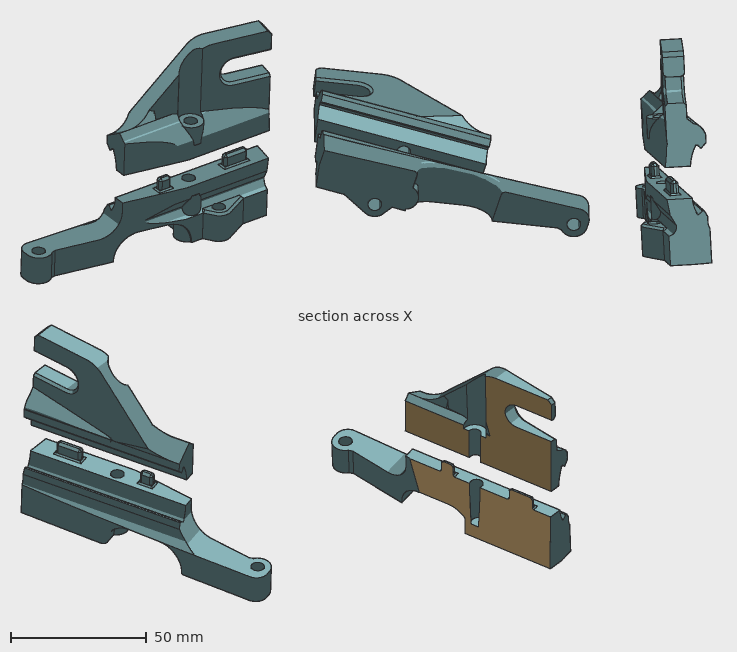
import cadquery as cq
import math

LEAN = 3.0

REAR_Y = 102.31
CLAMP_LENGTH = 65.0
FRONT_Y = REAR_Y - CLAMP_LENGTH
SIDE_X = 19.4
TAPER = 10.0
FRONT_FLANK_X = 14.8
SCREW_X = 14.1
SCREW_Y = 68.0
SCREW_DIAMETER = 5.0
SCREW_BOSS_RADIUS = 4.9
FAR = 40.0

PLATE_HEIGHT = 11.2
LUG_HEIGHT = 12.1
LOWER_TOP = 24.95
SCREW_HOLE_DEPTH = 19.0
SHOULDER_RADIUS = 9.6
LEFT_WALL_ANGLE = 2.3
ARM_HOLE_X = 6.9
ARM_HOLE_Y = 5.1
ARM_END_RADIUS = 5.1
ARM_HOLE_DIAMETER = 5.0
ARM_CORNER_RADIUS = 4.6
NECK_Y = 10.4
ARCH_FRONT_Y = 34.4
ARCH_REAR_Y = 66.4
ARCH_HEIGHT = 10.6
ARCH_RADIUS = 10.3
LEFT_RIM_REACH = 6.0
LOWER_BOSS_TOP = 20.0
ARCH_ROUND = 1.7
LUG_X = 20.1
LUG_Y = 77.9
LUG_RADIUS = 5.0
LUG_HOLE_DIAMETER = 5.0
LUG_FRONT_Y = 71.4
LUG_ROOT_X = 17.0
LUG_REAR_Y = 89.9
LUG_EDGE_ANGLE = 28.0
LUG_CHAMFER = 0.9

TAB_X = 14.8
TAB_WIDTH = 3.0
TAB_HEIGHT = 5.25
TAB_CHAMFER = 1.0
TAB_FOOT = 0.6
TABS = [(88.3, 10.4), (55.9, 5.3)]

UPPER_BOTTOM = 37.0
SHELF_X = 3.9
SHELF_Z = 48.8
RIDGE_X = 11.4
RIDGE_Z = 53.6
SEAT_Z = 49.85
HOOK_BOSS_BOTTOM = 42.0
BLADE_X = 10.6
BLADE_THICKNESS = 7.9
BLADE_TOP = 80.15
BLADE_FOOT = 46.0
BLADE_SLOPE = 46.5
BLADE_TOP_LENGTH = 28.5
BLADE_CORNER_RADIUS = 10.0
BLADE_REAR_CHAMFER = 1.7
SLOPE_FILLET = 12.0
TRANSITION_MARGIN = 6.0
TRANSITION_TOP_X = 9.8
TRANSITION_TOP_Z = 57.5
TRANSITION_REAR_Y = 54.0
SLOPE_FOOT = (8.5, 46.0, 51.7)
SLOT_Z = 66.0
SLOT_RADIUS = 5.0
SLOT_DEPTH = 15.1
SLOT_CHAMFER = 1.0
UNDERCUT_X = 1.1
UNDERCUT_Z = 53.4
SWELL_FRONT_Y = 66.0


def flank_x(y):
    """X of the tapered right flank at a given Y."""
    return FRONT_FLANK_X + (y - FRONT_Y) * math.tan(math.radians(TAPER))


def left_wall_x(y):
    """X of the slanted left wall of the lower body at a given Y."""
    return y * math.tan(math.radians(LEFT_WALL_ANGLE))


def along_y(outline, front, rear):
    """Extrude an XZ outline from Y = front to Y = rear."""
    return outline.extrude(front - rear).translate((0, front, 0))


def cylinder(x, y, radius, bottom, top):
    return cq.Workplane("XY", origin=(x, y, bottom)).circle(radius).extrude(top - bottom)


def flank_block(y_from, bottom, top):
    """Block that removes everything right of the tapered flank."""
    outline = [
        (flank_x(y_from), y_from),
        (flank_x(REAR_Y), REAR_Y),
        (flank_x(REAR_Y) + FAR, REAR_Y),
        (flank_x(REAR_Y) + FAR, y_from),
    ]
    return cq.Workplane("XY", origin=(0, 0, bottom)).polyline(outline).close().extrude(top - bottom)


def rear_skew():
    """Region behind the rear end, which is square to Y on the left and to the blade on the right."""
    drop = (FAR - BLADE_X) * math.tan(math.radians(TAPER))
    outline = [
        (-FAR, REAR_Y),
        (BLADE_X, REAR_Y),
        (FAR, REAR_Y - drop),
        (FAR, REAR_Y + FAR),
        (-FAR, REAR_Y + FAR),
    ]
    return cq.Workplane("XY").polyline(outline).close().extrude(BLADE_TOP)


def lower_plan():
    """Plan of the plate: slanted left wall, tapered right flank, rounded arm end."""
    side_y = FRONT_Y + (SIDE_X - FRONT_FLANK_X) / math.tan(math.radians(TAPER))
    diagonal = math.sqrt(0.5)
    corner_x = left_wall_x(ARM_CORNER_RADIUS) + ARM_CORNER_RADIUS
    end_bottom = ARM_HOLE_Y - ARM_END_RADIUS
    neck_x = flank_x(NECK_Y)
    return (
        cq.Workplane("XY")
        .moveTo(left_wall_x(REAR_Y), REAR_Y)
        .lineTo(left_wall_x(ARM_CORNER_RADIUS), ARM_CORNER_RADIUS)
        .threePointArc(
            (corner_x - ARM_CORNER_RADIUS * diagonal, ARM_CORNER_RADIUS * (1 - diagonal)),
            (corner_x, end_bottom),
        )
        .lineTo(ARM_HOLE_X, end_bottom)
        .threePointArc(
            (ARM_HOLE_X + ARM_END_RADIUS, ARM_HOLE_Y),
            (ARM_HOLE_X + ARM_END_RADIUS * diagonal, ARM_HOLE_Y + ARM_END_RADIUS * diagonal),
        )
        .lineTo(neck_x, NECK_Y)
        .lineTo(SIDE_X, side_y)
        .lineTo(SIDE_X, REAR_Y)
        .close()
    )


def lower_clamp():
    """Clamp section with a ridge and a groove on the left and a waist on the right."""
    outline = (
        cq.Workplane("XZ")
        .moveTo(10.15, LOWER_TOP)
        .threePointArc((9.7, 21.5), (8.3, 18.5))
        .lineTo(6.6, 19.8)
        .lineTo(5.9, 19.8)
        .lineTo(4.75, 17.6)
        .lineTo(4.75, 15.2)
        .threePointArc((3.8, 12.7), (1.2, PLATE_HEIGHT))
        .lineTo(1.2, PLATE_HEIGHT - 1)
        .lineTo(SIDE_X, PLATE_HEIGHT - 1)
        .lineTo(SIDE_X, PLATE_HEIGHT)
        .threePointArc((16.8, 13.2), (16.5, 15.1))
        .lineTo(18.55, 18.9)
        .lineTo(SIDE_X, LOWER_TOP)
        .close()
    )
    clamp = along_y(outline, FRONT_Y - SHOULDER_RADIUS, REAR_Y)
    shoulder = (
        cq.Workplane("YZ")
        .moveTo(FRONT_Y - SHOULDER_RADIUS, PLATE_HEIGHT)
        .radiusArc((FRONT_Y, PLATE_HEIGHT + SHOULDER_RADIUS), -SHOULDER_RADIUS)
        .lineTo(FRONT_Y, FAR)
        .lineTo(0, FAR)
        .lineTo(0, PLATE_HEIGHT)
        .close()
        .extrude(FAR)
    )
    return clamp.cut(shoulder)


def arch():
    """Round-cornered opening through the plate from left to right."""
    diagonal = ARCH_RADIUS * math.sqrt(0.5)
    front = ARCH_FRONT_Y + ARCH_RADIUS
    rear = ARCH_REAR_Y - ARCH_RADIUS
    spring = ARCH_HEIGHT - ARCH_RADIUS
    return (
        cq.Workplane("YZ", origin=(-FAR, 0, 0))
        .moveTo(ARCH_FRONT_Y, 0)
        .lineTo(ARCH_FRONT_Y, spring)
        .threePointArc((front - diagonal, spring + diagonal), (front, ARCH_HEIGHT))
        .lineTo(rear, ARCH_HEIGHT)
        .threePointArc((rear + diagonal, spring + diagonal), (ARCH_REAR_Y, spring))
        .lineTo(ARCH_REAR_Y, 0)
        .close()
        .extrude(2 * FAR)
    )


def lug():
    """Ear on the right side with a rounded tip and a chamfered top edge."""
    tilt = math.radians(LUG_EDGE_ANGLE)
    diagonal = LUG_RADIUS * math.sqrt(0.5)
    return (
        cq.Workplane("XY")
        .moveTo(LUG_ROOT_X, LUG_FRONT_Y)
        .lineTo(SIDE_X, LUG_FRONT_Y)
        .lineTo(LUG_X + diagonal, LUG_Y - diagonal)
        .threePointArc(
            (LUG_X + LUG_RADIUS, LUG_Y),
            (LUG_X + LUG_RADIUS * math.cos(tilt), LUG_Y + LUG_RADIUS * math.sin(tilt)),
        )
        .lineTo(SIDE_X, LUG_REAR_Y)
        .lineTo(LUG_ROOT_X, LUG_REAR_Y)
        .close()
        .extrude(LUG_HEIGHT)
        .faces(">Z")
        .chamfer(LUG_CHAMFER)
    )


def tab(y, length):
    """Chamfered locating tab with a flared foot."""
    body = (
        cq.Workplane("XY", origin=(TAB_X, y, LOWER_TOP))
        .rect(TAB_WIDTH, length)
        .extrude(TAB_HEIGHT)
        .edges("|Z or >Z")
        .chamfer(TAB_CHAMFER)
    )
    foot = (
        cq.Workplane("XY", origin=(TAB_X, y, LOWER_TOP))
        .rect(TAB_WIDTH + 2 * TAB_FOOT, length + 2 * TAB_FOOT)
        .extrude(TAB_FOOT, taper=45)
    )
    return body.union(foot)


def build_arm():
    plate = lower_plan().extrude(PLATE_HEIGHT)
    clamp = lower_clamp().intersect(lower_plan().extrude(LOWER_TOP))
    body = plate.union(clamp).cut(rear_skew()).cut(arch())
    rim_zone = cq.selectors.BoxSelector(
        (0, ARCH_FRONT_Y - 1, 1), (LEFT_RIM_REACH, ARCH_REAR_Y + 1, ARCH_HEIGHT + 0.3)
    )
    body = body.edges(rim_zone).fillet(ARCH_ROUND)
    body = body.union(lug())
    body = body.union(cylinder(SCREW_X, SCREW_Y, SCREW_BOSS_RADIUS, 0, LOWER_BOSS_TOP))
    for y, length in TABS:
        body = body.union(tab(y, length))
    hole_floor = LOWER_TOP - SCREW_HOLE_DEPTH
    body = body.cut(cylinder(SCREW_X, SCREW_Y, SCREW_DIAMETER / 2, hole_floor, LOWER_TOP))
    body = body.cut(cylinder(ARM_HOLE_X, ARM_HOLE_Y, ARM_HOLE_DIAMETER / 2, 0, PLATE_HEIGHT))
    return body.cut(cylinder(LUG_X, LUG_Y, LUG_HOLE_DIAMETER / 2, 0, LUG_HEIGHT))


def hook_base():
    """Clamp section of the hook, tapered on the right toward the front."""
    outline = (
        cq.Workplane("XZ")
        .moveTo(SHELF_X, SHELF_Z)
        .lineTo(SHELF_X, 45.4)
        .lineTo(5.95, 43.3)
        .lineTo(7.1, 44.7)
        .lineTo(7.9, 44.6)
        .threePointArc((9.4, 41.2), (10.2, UPPER_BOTTOM))
        .lineTo(SIDE_X, UPPER_BOTTOM)
        .lineTo(18.7, 42.6)
        .threePointArc((17.4, 47.8), (14.0, 51.3))
        .lineTo(RIDGE_X, RIDGE_Z)
        .close()
    )
    base = along_y(outline, FRONT_Y, REAR_Y)
    return base.cut(flank_block(FRONT_Y, UPPER_BOTTOM, RIDGE_Z))


def place_on_blade(shape):
    """Move a shape from blade axes (X forward, Y through, Z up) onto the rear left corner."""
    return shape.rotate((0, 0, 0), (0, 0, 1), -90 - TAPER).translate((BLADE_X, REAR_Y, 0))


def blade_plate(left, right):
    """Plate with the sloped front edge, between two offsets through the thickness."""
    run = (BLADE_TOP - BLADE_FOOT) / math.tan(math.radians(BLADE_SLOPE))
    profile = [
        (0, BLADE_FOOT),
        (BLADE_TOP_LENGTH + run, BLADE_FOOT),
        (BLADE_TOP_LENGTH, BLADE_TOP),
        (0, BLADE_TOP),
    ]
    plate = cq.Workplane("XZ", origin=(0, left, 0)).polyline(profile).close()
    return plate.extrude(left - right)


def blade():
    """Slanted blade with its rounded and chamfered top corners, before the slot is cut."""
    plate = blade_plate(0, BLADE_THICKNESS)
    plate = plate.faces(">Z").edges(">X").fillet(BLADE_CORNER_RADIUS)
    plate = plate.faces(">Z").edges("<X").chamfer(BLADE_REAR_CHAMFER)
    return place_on_blade(plate)


def slope_transition():
    """Concave fillet between the front slope of the blade and the slanted top of the base."""
    top_slope = (RIDGE_Z - SHELF_Z) / (RIDGE_X - SHELF_X)
    slab_left = SHELF_X - TRANSITION_MARGIN
    slab_right = RIDGE_X + TRANSITION_MARGIN
    slab = [
        (slab_left, UPPER_BOTTOM),
        (slab_right, UPPER_BOTTOM),
        (slab_right, RIDGE_Z + TRANSITION_MARGIN * top_slope),
        (slab_left, SHELF_Z - TRANSITION_MARGIN * top_slope),
    ]
    base = along_y(cq.Workplane("XZ").polyline(slab).close(), 0, REAR_Y)
    wide_blade = place_on_blade(blade_plate(0, FAR))
    window = [
        (SHELF_X, BLADE_FOOT),
        (SHELF_X, SHELF_Z),
        (UNDERCUT_X, UNDERCUT_Z),
        (UNDERCUT_X, TRANSITION_TOP_Z),
        (TRANSITION_TOP_X, TRANSITION_TOP_Z),
        (RIDGE_X, RIDGE_Z),
        (RIDGE_X, BLADE_FOOT),
    ]
    space = along_y(cq.Workplane("XZ").polyline(window).close(), FRONT_Y, TRANSITION_REAR_Y)
    blank = base.union(wide_blade)
    corner = cq.selectors.NearestToPointSelector(SLOPE_FOOT)
    return blank.edges(corner).fillet(SLOPE_FILLET).intersect(space)


def slot():
    """Open-ended slot through the blade with chamfered rims on both faces."""
    def opening(radius):
        return (
            cq.Workplane("XZ")
            .moveTo(-SLOT_DEPTH, SLOT_Z - radius)
            .lineTo(SLOT_DEPTH, SLOT_Z - radius)
            .threePointArc((SLOT_DEPTH + radius, SLOT_Z), (SLOT_DEPTH, SLOT_Z + radius))
            .lineTo(-SLOT_DEPTH, SLOT_Z + radius)
            .close()
        )

    through = opening(SLOT_RADIUS).extrude(-BLADE_THICKNESS)
    left_rim = opening(SLOT_RADIUS + SLOT_CHAMFER).extrude(-SLOT_CHAMFER, taper=45)
    right_rim = left_rim.mirror("XZ").translate((0, BLADE_THICKNESS, 0))
    return place_on_blade(through.union(left_rim).union(right_rim))


def swelling():
    """Rounded swelling on the left of the blade that fades toward the front."""
    def section(y, bulge, crest, root):
        return (
            cq.Workplane("XZ", origin=(0, y, 0))
            .moveTo(SHELF_X, SHELF_Z - 1)
            .threePointArc(bulge, crest)
            .lineTo(*root)
            .lineTo(RIDGE_X + 1, root[1])
            .lineTo(RIDGE_X + 1, SHELF_Z - 1)
            .close()
            .wire()
            .val()
        )

    rear = section(REAR_Y, (5.2, 51.0), (8.3, 52.9), (10.6, 54.9))
    front = section(SWELL_FRONT_Y, (4.1, 49.2), (4.6, 50.0), (5.5, 51.0))
    return cq.Workplane(cq.Solid.makeLoft([rear, front], True))


def undercut():
    """Region left of the base and below the slanted underside of the blade."""
    lean = (SHELF_X - UNDERCUT_X) / (UNDERCUT_Z - SHELF_Z)
    reach = 8.0
    outline = [
        (SHELF_X, UPPER_BOTTOM),
        (SHELF_X, SHELF_Z),
        (SHELF_X - lean * reach, SHELF_Z + reach),
        (-FAR, SHELF_Z + reach),
        (-FAR, UPPER_BOTTOM),
    ]
    return along_y(cq.Workplane("XZ").polyline(outline).close(), 0, REAR_Y)


def build_hook():
    body = hook_base().union(blade())
    body = body.union(slope_transition())
    body = body.cut(undercut())
    body = body.union(swelling())
    body = body.cut(slot()).cut(rear_skew())
    body = body.union(cylinder(SCREW_X, SCREW_Y, SCREW_BOSS_RADIUS, HOOK_BOSS_BOTTOM, SEAT_Z))
    body = body.cut(cylinder(SCREW_X, SCREW_Y, SCREW_BOSS_RADIUS, SEAT_Z, BLADE_TOP))
    return body.cut(cylinder(SCREW_X, SCREW_Y, SCREW_DIAMETER / 2, UPPER_BOTTOM, SEAT_Z))


lean = cq.Location(cq.Vector(0, 0, 0), cq.Vector(0, 1, 0), LEAN)
arm = build_arm().val().moved(lean)
hook = build_hook().val().moved(lean)
result = cq.Compound.makeCompound([arm, hook])